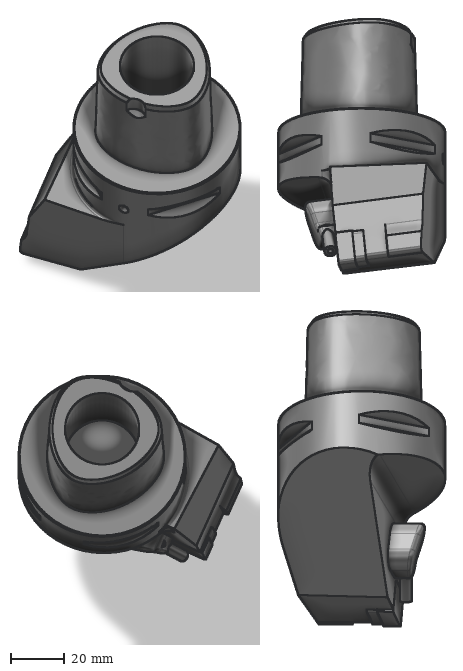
import cadquery as cq
import math


flange_radius = 31.48
flange_height = 22.4
flange_chamfer = 0.4
neck_fillet = 1.2

shank_length = 38.0
shank_mean_radius = 22.0
shank_lobe = 1.29
shank_taper = 0.025
shank_chamfer_height = 1.8
shank_chamfer_inset = 1.1
shank_points = 48
bore_radius = 13.96

notch_radius = 4.9
notch_axis_y = -22.7
notch_depth = 6.2
notch_cone_height = 4.4

slot_z = -11.6
slot_chord = 29.2
slot_floor_height = 3.3
slot_mouth_height = 7.9
dimple_radius = 2.01
dimple_z = -12.8

tip_x = -45.08
tip_z = -65.0
tilt = math.tan(math.radians(6.0))
lead_angle = 5.0
nose_radius = 1.2

insert_circle = 12.7
insert_corner_angle = 90.0 - 2 * lead_angle
insert_side = insert_circle / math.sin(math.radians(insert_corner_angle))
insert_thickness = 6.4
shim_thickness = 4.1
shim_inset = 0.3
shim_corner_radius = 1.6

head_inset = 0.88
head_top_z = -(flange_height + neck_fillet)
flank_length = 23.3
shoulder_angle = 25.0
back_slope = 36.0
back_start_z = -23.0
reach = 82.4
head_corner_radius = 1.6

pad_step = 1.8
pad_height = 7.6
pad_arc_radius = 8.5
pad_top_depth = 19.0

chip_corner_height = 37.0
chip_wall_angle = 17.0
chip_fillet = 7.2
blend_radius = 8.2
blend_angle = 163.0
blend_end_x = -34.0

clamp_boss_center = (21.6, 24.9)
clamp_boss_radius = 6.2
clamp_bottom = 12.4
clamp_foot_left = 11.4
clamp_foot_width = 6.6
clamp_foot_fillet = 2.1
clamp_height = 9.3
clamp_rise_direction = 45.0
clamp_rise_angle = 17.0
clamp_edge_fillet = 1.5
nozzle_radius = 2.3
nozzle_bore_radius = 1.0
nozzle_bore_depth = 3.1
nozzle_length = 14.4
nozzle_end = cq.Vector(-37.9, 4.3, -57.7)
nozzle_direction = cq.Vector(7.0, 2.4, 9.0)

rake_plane = cq.Plane(
    origin=(tip_x + nose_radius, 0, tip_z + nose_radius),
    xDir=(1, tilt, 0),
    normal=(tilt, -1, tilt),
)
thickness_edges = cq.selectors.ParallelDirSelector(rake_plane.zDir)
lead_cos = math.cos(math.radians(lead_angle))
lead_sin = math.sin(math.radians(lead_angle))


def cutting_corner(inset):
    """Sharp corner of the two cutting flanks, moved inward by the inset."""
    half_angle = math.radians(insert_corner_angle / 2)
    offset = -(nose_radius - inset) / math.sin(half_angle) * math.sqrt(0.5)
    return offset, offset


def along_flank(start, length):
    """Point at a distance up the left flank."""
    return start[0] + length * lead_sin, start[1] + length * lead_cos


def along_bottom(start, length):
    """Point at a distance along the bottom flank."""
    return start[0] + length * lead_cos, start[1] + length * lead_sin


def rhombic_plate(inset, top_depth, thickness):
    """Sharp-cornered rhombic plate whose top lies at a depth below the rake plane."""
    corner = cutting_corner(inset)
    side = insert_side - inset
    right = along_bottom(corner, side)
    left = along_flank(corner, side)
    opposite = along_flank(right, side)
    return (
        cq.Workplane(rake_plane)
        .workplane(offset=top_depth)
        .polyline([corner, right, opposite, left])
        .close()
        .extrude(thickness)
    )


def shank_section(z, inset):
    """Three-lobed constant-width curve, one lobe toward +Y."""
    def point(index):
        angle = 2 * math.pi * index / shank_points
        phase = 3 * (angle - math.pi / 2)
        support = shank_mean_radius - inset + shank_lobe * math.cos(phase)
        slope = -3 * shank_lobe * math.sin(phase)
        x = support * math.cos(angle) - slope * math.sin(angle)
        y = support * math.sin(angle) + slope * math.cos(angle)
        return cq.Vector(x, y, z)

    curve = cq.Edge.makeSpline([point(i) for i in range(shank_points)], periodic=True)
    return cq.Wire.assembleEdges([curve])


def make_shank():
    chamfer_z = shank_length - shank_chamfer_height
    top_inset = shank_taper * shank_length + shank_chamfer_inset
    base = shank_section(0, 0)
    shoulder = shank_section(chamfer_z, shank_taper * chamfer_z)
    top = shank_section(shank_length, top_inset)
    body = cq.Workplane(cq.Solid.makeLoft([base, shoulder], True))
    body = body.union(cq.Workplane(cq.Solid.makeLoft([shoulder, top], True)))
    notch_end_z = shank_length - notch_depth
    notch = (
        cq.Workplane("XZ", origin=(0, notch_axis_y, 0))
        .polyline([
            (0, shank_length),
            (notch_radius, shank_length),
            (notch_radius, notch_end_z),
            (0, notch_end_z - notch_cone_height),
        ])
        .close()
        .revolve(360, (0, 0), (0, 1))
    )
    bore = cq.Workplane("XY").circle(bore_radius).extrude(shank_length)
    return body.cut(notch).cut(bore)


def gripper_slot(angle):
    """Tapered-wall slot with a flat floor, at an angle around the flange."""
    floor_radius = math.sqrt(flange_radius ** 2 - (slot_chord / 2) ** 2)
    wall_slope = (slot_mouth_height - slot_floor_height) / 2 / (flange_radius - floor_radius)
    outer_radius = flange_radius + neck_fillet
    half_floor = slot_floor_height / 2
    half_mouth = half_floor + wall_slope * (outer_radius - floor_radius)
    return (
        cq.Workplane("XZ")
        .polyline([
            (floor_radius, slot_z - half_floor),
            (outer_radius, slot_z - half_mouth),
            (outer_radius, slot_z + half_mouth),
            (floor_radius, slot_z + half_floor),
        ])
        .close()
        .extrude(slot_chord / 2, both=True)
        .rotate((0, 0, 0), (0, 0, 1), angle)
    )


def make_flange():
    flange = (
        cq.Workplane("XY")
        .circle(flange_radius)
        .extrude(-flange_height)
        .faces(">Z")
        .chamfer(flange_chamfer)
    )
    for angle in (45, 135, 225, 315):
        flange = flange.cut(gripper_slot(angle))
    dimple = cq.Solid.makeCone(
        dimple_radius, 0, dimple_radius,
        cq.Vector(0, -flange_radius, dimple_z), cq.Vector(0, 1, 0),
    )
    return flange.cut(cq.Workplane(dimple))


def back_trim():
    """Region above the sloping back of the head, bounded on top by the flange."""
    drop = 2 * reach * math.tan(math.radians(back_slope))
    return (
        cq.Workplane("XZ")
        .polyline([
            (flange_radius, 0),
            (flange_radius, back_start_z),
            (flange_radius - 2 * reach, back_start_z - drop),
            (flange_radius - 2 * reach, 0),
        ])
        .close()
        .extrude(reach, both=True)
    )


def round_cutting_edge(prism, corner):
    """Round the edge where the left and bottom flanks meet."""
    edge_point = rake_plane.toWorldCoords((*corner, reach / 2)).toTuple()
    return prism.edges(cq.selectors.NearestToPointSelector(edge_point)).fillet(head_corner_radius)


def flank_prism():
    """Prism below the rake plane, bounded by the flanks of the head."""
    corner = cutting_corner(head_inset)
    shoulder = along_flank(corner, flank_length)
    rise = reach * math.tan(math.radians(90 - shoulder_angle))
    prism = (
        cq.Workplane(rake_plane)
        .polyline([
            corner,
            along_bottom(corner, reach),
            (reach, shoulder[1] + rise),
            (shoulder[0] + reach, shoulder[1] + rise),
            shoulder,
        ])
        .close()
        .extrude(reach)
    )
    return round_cutting_edge(prism, corner)


def flank_pad():
    """Raised pad on the left flank, blending upward into it through a hollow arc."""
    base = cutting_corner(head_inset)
    arc_rise = math.sqrt(pad_arc_radius ** 2 - (pad_arc_radius - pad_step) ** 2)
    arc_angle = math.acos(1 - pad_step / pad_arc_radius) / 2
    middle_out = pad_arc_radius * (1 - math.cos(arc_angle))
    middle_up = pad_height + arc_rise - pad_arc_radius * math.sin(arc_angle)

    def outward(height, distance):
        x, y = along_flank(base, height)
        return x - distance * lead_cos, y + distance * lead_sin

    inner = along_bottom(base, pad_step)
    foot = along_bottom(base, -pad_step)
    pad = (
        cq.Workplane(rake_plane)
        .workplane(offset=pad_top_depth)
        .moveTo(*inner)
        .lineTo(*foot)
        .lineTo(*outward(pad_height, pad_step))
        .threePointArc(outward(middle_up, middle_out), outward(pad_height + arc_rise, 0))
        .lineTo(*along_bottom(along_flank(base, pad_height + arc_rise), pad_step))
        .close()
        .extrude(reach)
    )
    return round_cutting_edge(pad, foot)


def neck_ring():
    """Hollow fillet around the foot of the flange."""
    outer = flange_radius + neck_fillet
    mid = neck_fillet * (1 - math.sqrt(0.5))
    return (
        cq.Workplane("XZ")
        .moveTo(flange_radius - neck_fillet, -flange_height)
        .lineTo(flange_radius, -flange_height)
        .threePointArc((flange_radius + mid, head_top_z + mid), (outer, head_top_z))
        .lineTo(flange_radius - neck_fillet, head_top_z)
        .close()
        .revolve(360, (0, 0), (0, 1))
    )


def blend_web():
    """Upright web with a hollow face, tangent to the flange cylinder."""
    angle = math.radians(blend_angle)
    tangent_point = (flange_radius * math.cos(angle), flange_radius * math.sin(angle))
    center_distance = flange_radius + blend_radius
    center = (center_distance * math.cos(angle), center_distance * math.sin(angle))
    end_drop = math.sqrt(blend_radius ** 2 - (blend_end_x - center[0]) ** 2)
    end_point = (blend_end_x, center[1] - end_drop)
    start = cq.Workplane("XY").workplane(offset=head_top_z)
    web = start.polyline([(0, 0), tangent_point, center, end_point]).close().extrude(-reach)
    return web.cut(start.center(*center).circle(blend_radius).extrude(-reach))


def head_core():
    """Continuation of the flange cylinder, hollowed on the chip side."""
    core = cq.Workplane("XY").workplane(offset=-flange_height).circle(flange_radius).extrude(-reach)
    section = cq.Plane(
        origin=rake_plane.origin.toTuple(),
        xDir=(rake_plane.zDir * -1).toTuple(),
        normal=rake_plane.xDir.toTuple(),
    )
    wall_rise = reach * math.tan(math.radians(chip_wall_angle))
    corner_point = section.toWorldCoords((0, chip_corner_height, 0)).toTuple()
    chip_space = (
        cq.Workplane(section)
        .polyline([
            (0, chip_corner_height),
            (reach, chip_corner_height + wall_rise),
            (reach, -reach),
            (0, -reach),
        ])
        .close()
        .extrude(reach, both=True)
        .edges(cq.selectors.NearestToPointSelector(corner_point))
        .fillet(chip_fillet)
    )
    return core.union(blend_web()).cut(chip_space)


def bottom_limit():
    """Half-space above the bottom flank of the head."""
    corner = cutting_corner(head_inset)
    left = along_bottom(corner, -reach)
    right = along_bottom(corner, 2 * reach)
    return (
        cq.Workplane(rake_plane)
        .polyline([left, right, (right[0], reach), (left[0], reach)])
        .close()
        .extrude(reach, both=True)
    )


def make_head():
    """Tilted block, neck fillet and cylinder core, cut off by the sloping back."""
    block_limits = (
        cq.Workplane("XY")
        .workplane(offset=head_top_z)
        .rect(-reach, 2 * flange_radius, centered=(False, True))
        .extrude(-reach)
    )
    ring_limits = block_limits.translate((0, 0, neck_fillet))
    prism = flank_prism()
    block = prism.union(flank_pad()).intersect(block_limits)
    ring = neck_ring().intersect(ring_limits).intersect(prism)
    head = block.union(ring)
    core = head_core().intersect(bottom_limit())
    return head.union(core).intersect(back_trim())


def make_clamp():
    """Upright round-ended boss with a side foot; its top rises away from the cutting corner."""
    center_x, center_y = clamp_boss_center
    low_y = clamp_bottom + clamp_boss_radius
    foot_y = clamp_bottom + clamp_foot_width / 2
    boss = (
        cq.Workplane(rake_plane)
        .center(center_x, (center_y + low_y) / 2)
        .slot2D(center_y - low_y + 2 * clamp_boss_radius, 2 * clamp_boss_radius, 90)
        .extrude(-2 * clamp_height)
    )
    foot_length = center_x - clamp_foot_left + clamp_foot_width / 2
    foot = (
        cq.Workplane(rake_plane)
        .center(clamp_foot_left + foot_length / 2, foot_y)
        .slot2D(foot_length, clamp_foot_width)
        .extrude(-2 * clamp_height)
    )
    inner_corner = (center_x - clamp_boss_radius, clamp_bottom + clamp_foot_width, -clamp_height)
    clamp = (
        boss.union(foot)
        .edges(cq.selectors.NearestToPointSelector(rake_plane.toWorldCoords(inner_corner).toTuple()))
        .fillet(clamp_foot_fillet)
    )
    top_trim = (
        cq.Workplane(rake_plane)
        .center(center_x, low_y)
        .transformed(rotate=(0, 0, clamp_rise_direction))
        .transformed(offset=(0, 0, -clamp_height), rotate=(0, clamp_rise_angle, 0))
        .rect(reach, reach)
        .extrude(-reach)
    )
    outward = rake_plane.zDir * -1
    top_face = clamp.cut(top_trim).faces(cq.selectors.DirectionMinMaxSelector(outward))
    return top_face.edges().fillet(clamp_edge_fillet)


def make_nozzle():
    nozzle = cq.Solid.makeCylinder(nozzle_radius, nozzle_length, nozzle_end, nozzle_direction)
    bore = cq.Solid.makeCylinder(nozzle_bore_radius, nozzle_bore_depth, nozzle_end, nozzle_direction)
    return cq.Workplane(nozzle).cut(cq.Workplane(bore))


def make_insert():
    """Rhombic insert, rounded at its two acute corners."""
    plate = rhombic_plate(0, 0, insert_thickness).edges(thickness_edges)
    diagonal = rake_plane.xDir + rake_plane.yDir
    far_corner = cq.selectors.DirectionMinMaxSelector(diagonal)
    near_corner = cq.selectors.DirectionMinMaxSelector(diagonal, directionMax=False)
    return plate.edges(far_corner + near_corner).fillet(nose_radius)


def make_shim():
    """Plate under the insert, part of the holder."""
    plate = rhombic_plate(shim_inset, insert_thickness, shim_thickness)
    return plate.edges(thickness_edges).fillet(shim_corner_radius)


def make_holder(insert):
    holder = make_flange().union(make_shank()).union(make_head()).union(make_shim())
    return holder.cut(insert).union(make_clamp()).union(make_nozzle())


insert = make_insert()
holder = make_holder(insert)

result = cq.Compound.makeCompound([holder.val(), insert.val()])